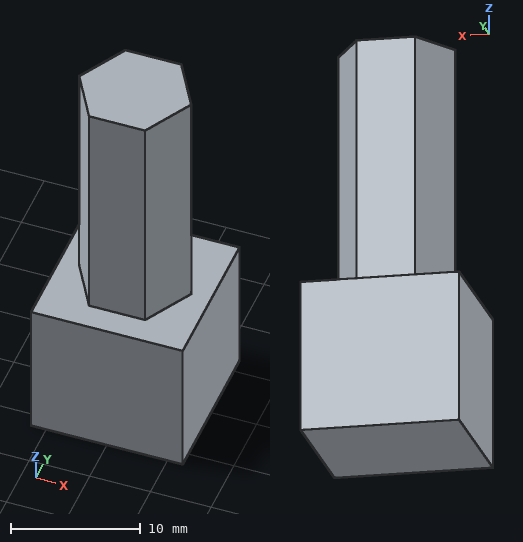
import cadquery as cq
import math

total_height = 32.0
base_width = 12.5
base_height = 12.0
hex_across_flats = 8.0

shank_length = total_height - base_height
hex_across_corners = hex_across_flats / math.cos(math.pi / 6)

base = cq.Workplane("XY").rect(base_width, base_width).extrude(base_height)

shank = (
    cq.Workplane("XY")
    .workplane(offset=base_height)
    .polygon(6, hex_across_corners)
    .extrude(shank_length)
)

result = base.union(shank)